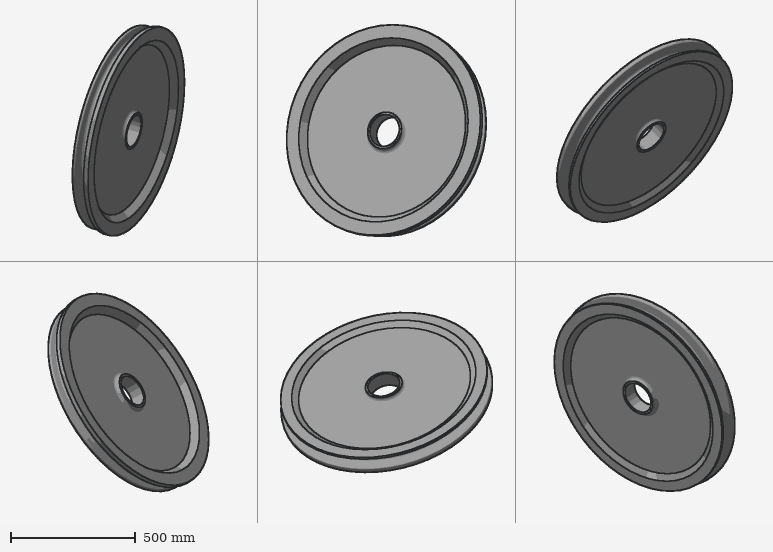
import cadquery as cq
import math

width = 75.0
large_flange_radius = 860 / 2
small_flange_radius = 840.0 / 2

groove_center = 32.0
groove_radius = 15.0
groove_bottom_radius = 387.0
wall_angle = math.radians(15)
lip_fillet = 5.6

bevel_width = 5.0
bevel_height = 1.0

recess_mouth_radius = 375.0
recess_floor_radius = 350.0
recess_depth = 17.0

hub_length = 2 * groove_center
bore_radius = 130.0 / 2
hub_radius = 150.0 / 2
hub_fillet = 16.8


def wall_x(side, radius):
    """Axial place of a groove wall at a radius; side is -1 or 1."""
    arc_center = groove_bottom_radius + groove_radius
    offset = groove_radius / math.cos(wall_angle) + (radius - arc_center) * math.tan(wall_angle)
    return groove_center + side * offset


def lip_points(side, flange_radius):
    """Wall end, middle and flange end of the rounded groove lip."""
    center_radius = flange_radius - lip_fillet
    center_x = wall_x(side, center_radius) + side * lip_fillet / math.cos(wall_angle)
    angles = (wall_angle, (wall_angle + math.pi / 2) / 2, math.pi / 2)
    return [
        (center_x - side * lip_fillet * math.cos(angle), center_radius + lip_fillet * math.sin(angle))
        for angle in angles
    ]


def make_blank():
    """Revolved solid wheel with the rope groove and a plain bore."""
    tangent_x = groove_radius * math.cos(wall_angle)
    tangent_radius = groove_bottom_radius + groove_radius * (1 - math.sin(wall_angle))
    small_wall, small_middle, small_top = lip_points(-1, small_flange_radius)
    large_wall, large_middle, large_top = lip_points(1, large_flange_radius)
    return (
        cq.Workplane("XY")
        .moveTo(0, bore_radius)
        .lineTo(0, small_flange_radius)
        .lineTo(*small_top)
        .threePointArc(small_middle, small_wall)
        .lineTo(groove_center - tangent_x, tangent_radius)
        .threePointArc((groove_center, groove_bottom_radius), (groove_center + tangent_x, tangent_radius))
        .lineTo(*large_wall)
        .threePointArc(large_middle, large_top)
        .lineTo(width - bevel_width, large_flange_radius)
        .lineTo(width, large_flange_radius - bevel_height)
        .lineTo(width, bore_radius)
        .close()
        .revolve(360, (0, 0, 0), (1, 0, 0))
    )


def make_recess(rim_overhang):
    """Ring recess opening toward -X, with its mouth at X = -rim_overhang and a filleted hub inside."""
    diagonal = hub_fillet * (1 - math.sqrt(0.5))
    return (
        cq.Workplane("XY")
        .moveTo(-rim_overhang, hub_radius)
        .lineTo(-rim_overhang, recess_mouth_radius)
        .lineTo(recess_depth, recess_floor_radius)
        .lineTo(recess_depth, hub_radius + hub_fillet)
        .threePointArc(
            (recess_depth - diagonal, hub_radius + diagonal),
            (recess_depth - hub_fillet, hub_radius),
        )
        .close()
        .revolve(360, (0, 0, 0), (1, 0, 0))
    )


def make_hub_facing():
    """Disc that shortens the hub end on the large flange side."""
    return cq.Workplane("YZ").workplane(offset=hub_length).circle(hub_radius).extrude(width - hub_length)


small_side_recess = make_recess(0)
large_side_recess = make_recess(width - hub_length).mirror("YZ").translate((hub_length, 0, 0))
result = make_blank().cut(small_side_recess).cut(large_side_recess).cut(make_hub_facing())